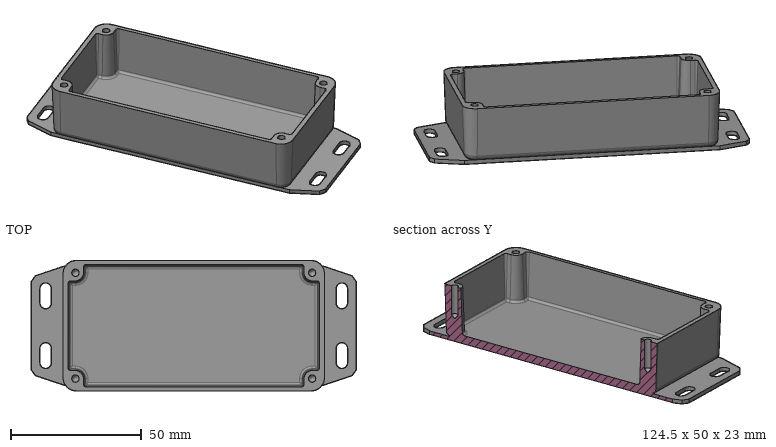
import cadquery as cq
import math

flange_length = 124.46
box_length = 100.0
box_width = 50.0
total_height = 23.0
draft_angle = 2.1

plate_thickness = 1.63
plate_width = 45.6
shoulder_x = 49.7
flange_end_width = 37.2
flange_corner_chamfer = 1.7

slot_x = 56.7
slot_y = 11.43
slot_width = 4.3
slot_length = 9.8

corner_radius = 5.0
bottom_fillet = 2.0
floor_thickness = 2.0
end_wall = 1.9
side_wall = 1.6

screw_x = 45.3
screw_y = 20.25
boss_radius = 3.1
screw_hole_diameter = 2.8
screw_hole_depth = 12.0
drill_point_angle = 90.0

cavity_corner_fillet = 1.0
floor_fillet = 1.0

rim_z = total_height
box_height = total_height - plate_thickness
cavity_depth = box_height - floor_thickness


def make_plate():
    """Flat plate with tapering flange ends, chamfered outer corners and four slots."""
    end_x = flange_length / 2
    end_y = flange_end_width / 2
    side_y = plate_width / 2
    outline = [
        (end_x, -end_y),
        (end_x, end_y),
        (shoulder_x, side_y),
        (-shoulder_x, side_y),
        (-end_x, end_y),
        (-end_x, -end_y),
        (-shoulder_x, -side_y),
        (shoulder_x, -side_y),
    ]
    plate = cq.Workplane("XY").polyline(outline).close().extrude(plate_thickness)
    plate = plate.edges("|Z").edges("<X or >X").chamfer(flange_corner_chamfer)
    slots = (
        cq.Workplane("XY")
        .rarray(2 * slot_x, 2 * slot_y, 2, 2)
        .slot2D(slot_length, slot_width, 90)
        .extrude(plate_thickness)
    )
    return plate.cut(slots)


def make_shell():
    """Solid box body, widest at the rim and drafted inward towards its rounded bottom."""
    rim = cq.Sketch().rect(box_length, box_width).vertices().fillet(corner_radius)
    shell = (
        cq.Workplane("XY", origin=(0, 0, rim_z))
        .placeSketch(rim)
        .extrude(-box_height, taper=draft_angle)
    )
    return shell.faces("<Z").edges().fillet(bottom_fillet)


def fillet_corner(sketch, corner, radius):
    """Round the one sketch corner that lies at the given point."""
    nearest = cq.selectors.NearestToPointSelector((*corner, 0))
    return sketch.vertices(nearest).fillet(radius).reset()


def make_cavity():
    """Drafted cavity that leaves a rounded screw boss standing in each corner."""
    wall_x = box_length / 2 - end_wall
    wall_y = box_width / 2 - side_wall
    boss_x = screw_x - boss_radius
    boss_y = screw_y - boss_radius

    opening = cq.Sketch().rect(2 * wall_x, 2 * boss_y).rect(2 * boss_x, 2 * wall_y).clean()
    for x_side in (-1, 1):
        for y_side in (-1, 1):
            boss_corner = (x_side * boss_x, y_side * boss_y)
            end_wall_corner = (x_side * wall_x, y_side * boss_y)
            side_wall_corner = (x_side * boss_x, y_side * wall_y)
            opening = fillet_corner(opening, boss_corner, boss_radius)
            opening = fillet_corner(opening, end_wall_corner, cavity_corner_fillet)
            opening = fillet_corner(opening, side_wall_corner, cavity_corner_fillet)

    cavity = (
        cq.Workplane("XY", origin=(0, 0, rim_z))
        .placeSketch(opening)
        .extrude(-cavity_depth, taper=draft_angle)
    )
    return cavity.faces("<Z").edges().fillet(floor_fillet)


def make_screw_holes():
    """Blind drilled holes, each ending in a conical drill point."""
    radius = screw_hole_diameter / 2
    point_depth = radius / math.tan(math.radians(drill_point_angle / 2))
    profile = [
        (0, 0),
        (radius, 0),
        (radius, -screw_hole_depth),
        (0, -screw_hole_depth - point_depth),
    ]
    hole = cq.Workplane("XZ").polyline(profile).close().revolve(360, (0, 0), (0, 1)).val()
    return (
        cq.Workplane("XY", origin=(0, 0, rim_z))
        .rarray(2 * screw_x, 2 * screw_y, 2, 2)
        .eachpoint(lambda place: hole.moved(place), combine=False)
    )


result = make_shell().union(make_plate()).cut(make_cavity()).cut(make_screw_holes())